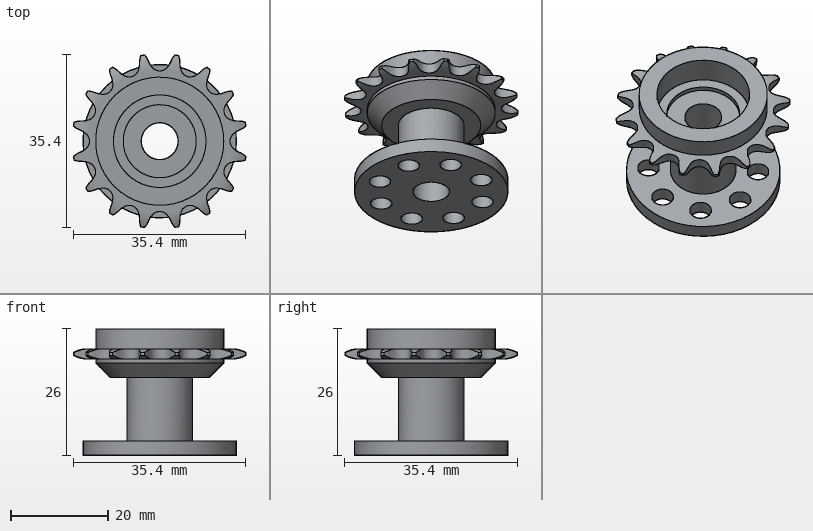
import cadquery as cq
import math

TOTAL_HEIGHT = 26.0
FLANGE_DIAMETER = 31.5
FLANGE_THICKNESS = 3.0
SHAFT_DIAMETER = 13.5
BORE_DIAMETER = 7.5
CUP_DIAMETER = 26.3
CUP_HEIGHT = 10.0
CUP_CHAMFER = 2.98

SEAT_DIAMETER = 19.0
SEAT_DEPTH = 6.0
RELIEF_DIAMETER = 15.0
RELIEF_DEPTH = 1.0

BOLT_COUNT = 8
BOLT_DIAMETER = 4.4
BOLT_CIRCLE_RADIUS = (FLANGE_DIAMETER + SHAFT_DIAMETER) / 4

TOOTH_COUNT = 16
SPROCKET_BOTTOM = 19.78
SPROCKET_THICKNESS = 2.13
TIP_THICKNESS = 0.55
BEVEL_START_RADIUS = 14.85

ROOT_RADIUS = 14.43
ROLLER_SEAT_RADIUS = 2.0
FLANK_RADIUS = 5.3
STRAIGHT_LENGTH = 0.43
SEAT_END_ANGLE = math.radians(35 + 60 / TOOTH_COUNT)
FLANK_TURN_ANGLE = math.radians(18 - 56 / TOOTH_COUNT)
LINE_ANGLE = SEAT_END_ANGLE - FLANK_TURN_ANGLE
TIP_X = 17.72
TIP_Y = 3.12
TIP_RADIUS = math.hypot(TIP_X, TIP_Y)
CUTTER_REACH = 1.77


def cylinder(diameter, height, bottom):
    return cq.Workplane("XY").workplane(offset=bottom).circle(diameter / 2).extrude(height)


def make_hub():
    flange_radius = FLANGE_DIAMETER / 2
    shaft_radius = SHAFT_DIAMETER / 2
    cup_radius = CUP_DIAMETER / 2
    cup_bottom = TOTAL_HEIGHT - CUP_HEIGHT
    hub = (
        cq.Workplane("XZ")
        .lineTo(flange_radius, 0)
        .lineTo(flange_radius, FLANGE_THICKNESS)
        .lineTo(shaft_radius, FLANGE_THICKNESS)
        .lineTo(shaft_radius, cup_bottom)
        .lineTo(cup_radius - CUP_CHAMFER, cup_bottom)
        .lineTo(cup_radius, cup_bottom + CUP_CHAMFER)
        .lineTo(cup_radius, TOTAL_HEIGHT)
        .lineTo(0, TOTAL_HEIGHT)
        .close()
        .revolve(360, (0, 0, 0), (0, 1, 0))
    )

    seat_floor = TOTAL_HEIGHT - SEAT_DEPTH
    hub = hub.cut(cylinder(SEAT_DIAMETER, SEAT_DEPTH, seat_floor))
    hub = hub.cut(cylinder(RELIEF_DIAMETER, RELIEF_DEPTH, seat_floor - RELIEF_DEPTH))
    hub = hub.cut(cylinder(BORE_DIAMETER, TOTAL_HEIGHT, 0))

    bolt_holes = (
        cq.Workplane("XY")
        .polarArray(BOLT_CIRCLE_RADIUS, 0, 360, BOLT_COUNT)
        .circle(BOLT_DIAMETER / 2)
        .extrude(FLANGE_THICKNESS)
    )
    return hub.cut(bolt_holes)


def make_tooth_gap():
    """Cutter for one gap: roller seat, then a concave, a straight and a convex flank on each side."""
    seat_end_x = ROOT_RADIUS + ROLLER_SEAT_RADIUS * (1 - math.sin(SEAT_END_ANGLE))
    seat_end_y = ROLLER_SEAT_RADIUS * math.cos(SEAT_END_ANGLE)
    flank_end_x = seat_end_x + FLANK_RADIUS * (math.sin(SEAT_END_ANGLE) - math.sin(LINE_ANGLE))
    flank_end_y = seat_end_y + FLANK_RADIUS * (math.cos(LINE_ANGLE) - math.cos(SEAT_END_ANGLE))
    line_end_x = flank_end_x + STRAIGHT_LENGTH * math.cos(LINE_ANGLE)
    line_end_y = flank_end_y + STRAIGHT_LENGTH * math.sin(LINE_ANGLE)
    outer_x = TIP_X + CUTTER_REACH

    one_side = (
        cq.Workplane("XY")
        .workplane(offset=SPROCKET_BOTTOM)
        .moveTo(seat_end_x, -seat_end_y)
        .threePointArc((ROOT_RADIUS, 0), (seat_end_x, seat_end_y))
        .tangentArcPoint((flank_end_x, flank_end_y), relative=False)
        .lineTo(line_end_x, line_end_y)
        .tangentArcPoint((TIP_X, TIP_Y), relative=False)
        .lineTo(outer_x, TIP_Y)
        .lineTo(outer_x, -seat_end_y)
        .close()
        .extrude(SPROCKET_THICKNESS)
    )
    return one_side.union(one_side.mirror("XZ"))


def make_sprocket():
    bottom = SPROCKET_BOTTOM
    top = bottom + SPROCKET_THICKNESS
    bevel_height = (SPROCKET_THICKNESS - TIP_THICKNESS) / 2
    bevel_width = TIP_RADIUS - BEVEL_START_RADIUS
    bevel_radius = (bevel_width**2 + bevel_height**2) / (2 * bevel_height)
    bore_radius = CUP_DIAMETER / 2

    sprocket = (
        cq.Workplane("XZ")
        .moveTo(bore_radius, bottom)
        .lineTo(BEVEL_START_RADIUS, bottom)
        .radiusArc((TIP_RADIUS, bottom + bevel_height), -bevel_radius)
        .lineTo(TIP_RADIUS, top - bevel_height)
        .radiusArc((BEVEL_START_RADIUS, top), -bevel_radius)
        .lineTo(bore_radius, top)
        .close()
        .revolve(360, (0, 0, 0), (0, 1, 0))
    )

    tooth_gap = make_tooth_gap()
    for i in range(TOOTH_COUNT):
        angle = i * 360 / TOOTH_COUNT
        sprocket = sprocket.cut(tooth_gap.rotate((0, 0, 0), (0, 0, 1), angle))
    return sprocket


hub = make_hub()
sprocket = make_sprocket()

result = cq.Compound.makeCompound([hub.solids().val(), sprocket.solids().val()])